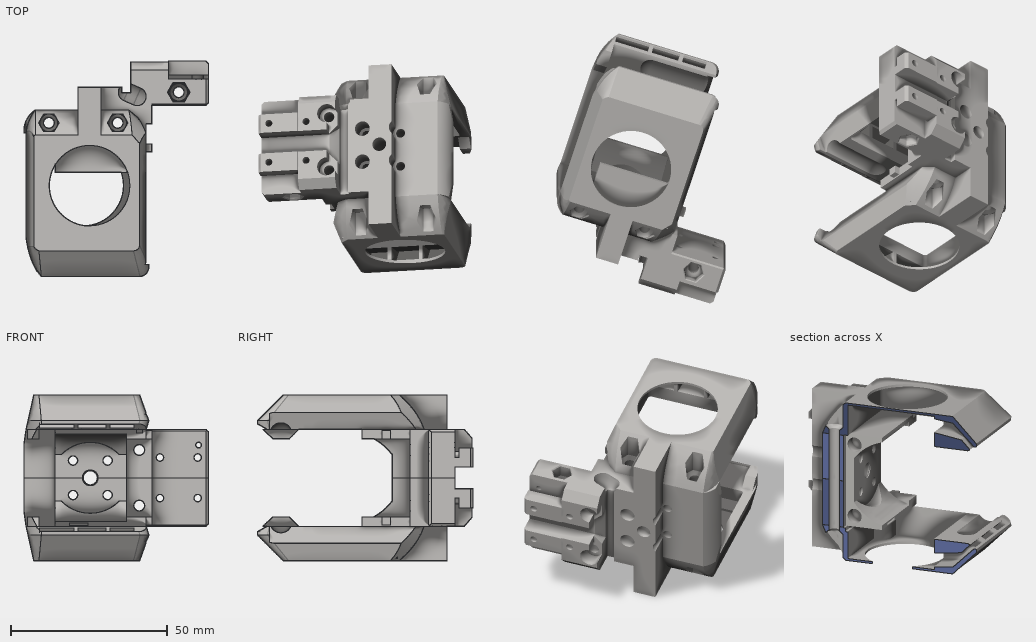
import cadquery as cq
import math


CORE_HEIGHT = 15.5
DUCT_HEIGHT = 26.5
SCREW_D = 3.4
CLAMP_SCREWS = [(-13.2, -19.75), (8.75, -19.75)]
NUT_FLATS = 5.65
NUT_CORNERS = NUT_FLATS / math.cos(math.pi / 6)

SPINE_LEFT = -21.2
SPINE_EDGE_LEFT = -20.5
SPINE_TAPER_START = 10.7
SPINE_REAR = -15.6
SPINE_FRONT = -23.0
CORNER_X = -17.55
CENTER_LEFT = -11.2
CENTER_RIGHT = 11.5
CENTER_FRONT = -25.8
SIDE_RIGHT = 19.6
SIDE_FRONT = -20.1
BACK_BLOCK_LEFT = -3.9
BACK_BLOCK_RIGHT = 10.1
BACK_BLOCK_REAR = -8.3
GAP_FLOOR = -10.1
PLATE_LEFT = 12.9
PLATE_RIGHT = 37.8
PLATE_FRONT = -14.2
STEP_LEFT = 24.9
PLATE_SCREW_XS = [22.2, 34.3]
PLATE_SCREW_Z = 6.5

SHELF_FRONT = -35.5
SHELF_RIGHT = 17.8
SHELF_UNDERSIDE = 14.0
RIM_UNDERSIDE = 12.45
SCOOP_START = 7.35
SCOOP_MID = (-31.3, 12.25)
FAN_D = 25.7
FAN_RELIEF_OFFSET = 1.5

ARM_FRONT = -68.8
NOSE_TOP = 18.25
NOSE_BOTTOM = 17.2
DUCT_SPLIT = -31
WALL_RIGHT = 17.75
NOSE_EAR_Y = -64.9
FAN_Y = -39.8
UPPER_FAN_X = -0.2
LOWER_FAN_X = -2.3
SKIN = 0.8
DUCT_TOP_LEFT = -18.0
DUCT_TOP_RIGHT = 15.75
DUCT_EDGE_RIGHT = 19.7
SOFT_FULLNESS = 0.6
ROUND_FULLNESS = 0.7
TRAY_LEFT = -17.4
TRAY_RIGHT = 14.7
TRAY_FRONT = -54.25
TRAY_REAR = -24.5


def box(x0, x1, y0, y1, z0, z1):
    """A box between two opposite corners."""
    return cq.Workplane("XY").box(x1 - x0, y1 - y0, z1 - z0, centered=False).translate((x0, y0, z0))


def bore(x, z, diameter, y_front, y_rear):
    """A cylinder along Y between two depths."""
    circle = cq.Workplane("XZ", origin=(x, y_rear, z)).circle(diameter / 2)
    return circle.extrude(y_rear - y_front)


def drill(x, y, diameter, z0, z1):
    """A cylinder along Z between two heights."""
    return cq.Workplane("XY", origin=(x, y, z0)).circle(diameter / 2).extrude(z1 - z0)


def nut_pocket(x, y, floor, top):
    """A hexagonal pocket with two corners on the X direction and a conical seat below its floor."""
    seat_depth = 1.0
    pocket = cq.Workplane("XY", origin=(x, y, floor)).polygon(6, NUT_CORNERS).extrude(top - floor)
    seat = cq.Solid.makeCone(SCREW_D / 2, NUT_FLATS / 2, seat_depth, cq.Vector(x, y, floor - seat_depth))
    return pocket.union(cq.Workplane(seat))


def side_profile(points, x0, x1):
    """A polygon in Y and Z, extruded along X."""
    return cq.Workplane("YZ", origin=(x0, 0, 0)).polyline(points).close().extrude(x1 - x0)


def side_rectangle(x, y0, y1, z0, z1):
    """A rectangular wire in Y and Z, at one place along X."""
    corners = [(y0, z0), (y1, z0), (y1, z1), (y0, z1)]
    return cq.Wire.makePolygon([cq.Vector(x, y, z) for y, z in corners], close=True)



def core_block():
    """Spine, back block and carrier plate as one outline of constant height."""
    outline = (
        cq.Workplane("XY")
        .moveTo(SPINE_LEFT, SPINE_FRONT)
        .threePointArc((-20.3, -18.7), (CORNER_X, SPINE_REAR))
        .lineTo(BACK_BLOCK_LEFT, SPINE_REAR)
        .lineTo(BACK_BLOCK_LEFT, BACK_BLOCK_REAR)
        .lineTo(BACK_BLOCK_RIGHT, BACK_BLOCK_REAR)
        .lineTo(BACK_BLOCK_RIGHT, GAP_FLOOR)
        .lineTo(PLATE_LEFT, GAP_FLOOR)
        .lineTo(PLATE_LEFT, 0)
        .lineTo(PLATE_RIGHT, 0)
        .lineTo(PLATE_RIGHT, PLATE_FRONT)
        .lineTo(SIDE_RIGHT, PLATE_FRONT)
        .lineTo(SIDE_RIGHT, SIDE_FRONT)
        .lineTo(CENTER_RIGHT, SIDE_FRONT)
        .lineTo(CENTER_RIGHT, CENTER_FRONT)
        .lineTo(CENTER_LEFT, CENTER_FRONT)
        .lineTo(CENTER_LEFT, SPINE_FRONT)
        .close()
    )
    block = outline.extrude(CORE_HEIGHT)
    outside = SPINE_LEFT - 0.7
    lean = (
        cq.Workplane("XZ")
        .polyline([(SPINE_LEFT, SPINE_TAPER_START), (SPINE_EDGE_LEFT, CORE_HEIGHT),
                   (outside, CORE_HEIGHT), (outside, SPINE_TAPER_START)])
        .close()
        .extrude(-SPINE_FRONT)
    )
    return block.cut(lean)


def shelf():
    """Forward shelf under the duct, with the curved scoop and the thicker rim right of it."""
    scoop = (
        cq.Workplane("YZ", origin=(CENTER_LEFT, 0, 0))
        .moveTo(CENTER_FRONT, SCOOP_START)
        .threePointArc(SCOOP_MID, (SHELF_FRONT, SHELF_UNDERSIDE))
        .lineTo(SHELF_FRONT, CORE_HEIGHT)
        .lineTo(CENTER_FRONT, CORE_HEIGHT)
        .close()
        .extrude(CENTER_RIGHT - CENTER_LEFT)
    )
    relief = bore(0, -FAN_RELIEF_OFFSET, FAN_D, SHELF_FRONT, CENTER_FRONT)
    rim = box(CENTER_RIGHT, SHELF_RIGHT, SHELF_FRONT, SIDE_FRONT, RIM_UNDERSIDE, CORE_HEIGHT)
    tab_width = 2.6
    tab_front = -29.05
    tab_top = 15.1
    tab = box(SHELF_RIGHT, SIDE_RIGHT, tab_front, tab_front + tab_width, RIM_UNDERSIDE, tab_top)
    return scoop.cut(relief).union(rim).union(tab)


def plate_edges():
    """Material removed around the edges of the carrier plate."""
    end_chamfer = 0.9
    front_chamfer = 0.5
    slope_depth = 2.8
    slope_height = 3.25
    rear_setback = 0.3
    ends = None
    for corner_y, inward in [(0, -1), (PLATE_FRONT, 1)]:
        corner = (
            cq.Workplane("XY")
            .polyline([(PLATE_RIGHT, corner_y), (PLATE_RIGHT - end_chamfer, corner_y),
                       (PLATE_RIGHT, corner_y + inward * end_chamfer)])
            .close()
            .extrude(CORE_HEIGHT)
        )
        ends = corner if ends is None else ends.union(corner)
    top_end = (
        cq.Workplane("XZ")
        .polyline([(PLATE_RIGHT, CORE_HEIGHT), (PLATE_RIGHT - end_chamfer, CORE_HEIGHT),
                   (PLATE_RIGHT, CORE_HEIGHT - end_chamfer)])
        .close()
        .extrude(-PLATE_FRONT)
    )
    front = side_profile(
        [(PLATE_FRONT, CORE_HEIGHT), (PLATE_FRONT + front_chamfer, CORE_HEIGHT),
         (PLATE_FRONT, CORE_HEIGHT - front_chamfer)], SIDE_RIGHT, PLATE_RIGHT)
    rear_slope = side_profile(
        [(0, CORE_HEIGHT), (-slope_depth, CORE_HEIGHT), (0, CORE_HEIGHT - slope_height)],
        PLATE_LEFT, STEP_LEFT)
    setback = box(PLATE_LEFT, STEP_LEFT, -rear_setback, 0, 0, CORE_HEIGHT)
    return ends.union(top_end).union(front).union(rear_slope).union(setback)


def strap_recesses():
    """Rear channel along the plate, its opening on the left and the step and slit on the right."""
    channel_half = 3.45
    channel_floor = -5.7
    opening_half = 10.3
    opening_depth = 4.8
    opening_right = 15.6
    flare_half = 6.05
    slit_front = -5.8
    slit_rear = -4.55
    slit_floor = PLATE_SCREW_Z
    step_floor = 9.6
    boss_d = 3.8
    channel = box(PLATE_LEFT, PLATE_RIGHT, channel_floor, 0, 0, channel_half)
    opening = box(PLATE_LEFT, opening_right, -opening_depth, 0, 0, opening_half)
    mouth = side_rectangle(PLATE_LEFT, BACK_BLOCK_REAR, -opening_depth, 0, flare_half)
    throat = side_rectangle(opening_right, channel_floor, -opening_depth, 0, channel_half)
    flare = cq.Workplane(cq.Solid.makeLoft([mouth, throat], True))
    step = box(STEP_LEFT, PLATE_RIGHT, slit_front, 0, step_floor, CORE_HEIGHT)
    slit = box(STEP_LEFT, PLATE_RIGHT, slit_front, slit_rear, slit_floor, step_floor)
    slit = slit.cut(bore(PLATE_SCREW_XS[1], PLATE_SCREW_Z, boss_d, slit_front, slit_rear))
    return channel.union(opening).union(flare).union(step).union(slit)


def core_holes():
    """All round holes, counterbores and nut pockets of one core half."""
    center_d = 4.5
    center_rim_d = 5.0
    center_rim_depth = 0.35
    fan_screw_d = 2.9
    fan_screw_pitch = 11
    fan_head_d = 4.8
    pivot_d = 4.8
    pivot_y = -26.0
    pivot_z = 12.0
    pivot_depth = 4.1
    mount_x = 15.6
    mount_z = 8.9
    mount_head_d = 6.0
    mount_head_depth = 4.8
    plate_screw_d = 2.3
    plate_nut = (28.2, -10.0)
    plate_nut_depth = 4.1
    nut_rim_depth = 0.35
    holes = bore(0, 0, center_d, SHELF_FRONT, 0)
    holes = holes.union(bore(0, 0, center_rim_d, CENTER_FRONT, CENTER_FRONT + center_rim_depth))
    for x in (-fan_screw_pitch / 2, fan_screw_pitch / 2):
        holes = holes.union(bore(x, fan_screw_pitch / 2, fan_screw_d, CENTER_FRONT, 0))
        holes = holes.union(bore(x, fan_screw_pitch / 2, fan_head_d, SPINE_REAR, 0))
    holes = holes.union(bore(mount_x, mount_z, SCREW_D, SIDE_FRONT, 0))
    holes = holes.union(bore(mount_x, mount_z, mount_head_d, -mount_head_depth, 0))
    for x in PLATE_SCREW_XS:
        holes = holes.union(bore(x, PLATE_SCREW_Z, plate_screw_d, PLATE_FRONT, 0))
    pivot = cq.Workplane("YZ", origin=(CENTER_LEFT, pivot_y, pivot_z)).circle(pivot_d / 2)
    holes = holes.union(pivot.extrude(pivot_depth))
    for x, y in CLAMP_SCREWS + [plate_nut]:
        holes = holes.union(drill(x, y, SCREW_D, 0, CORE_HEIGHT))
    holes = holes.union(nut_pocket(*plate_nut, CORE_HEIGHT - plate_nut_depth, CORE_HEIGHT))
    nut_rim = cq.Workplane("XY", origin=(*plate_nut, CORE_HEIGHT)).polygon(6, NUT_CORNERS + 2 * nut_rim_depth)
    return holes.union(nut_rim.extrude(-nut_rim_depth, taper=45))


def wire_groove():
    """Rounded groove with spherical ends across the top edge, from the gap diagonally into the plate."""
    start = cq.Vector(11.85, -10.0, CORE_HEIGHT)
    end = cq.Vector(14.95, -11.35, CORE_HEIGHT)
    radius = 2.9
    path = end - start
    groove = cq.Workplane(cq.Solid.makeCylinder(radius, path.Length, start, path))
    for point in (start, end):
        groove = groove.union(cq.Workplane("XY").sphere(radius).translate(point))
    return groove


def core_half():
    core = core_block().union(shelf())
    return core.cut(plate_edges()).cut(strap_recesses()).cut(core_holes())


def upper_core():
    pin_hole_d = 1.7
    pin_hole_x = 34.55
    pin_hole_z = 10.45
    notch_depth = 1.4
    pin_hole = bore(pin_hole_x, pin_hole_z, pin_hole_d, PLATE_FRONT, 0)
    latch_notch = box(14.7, 16.65, SHELF_FRONT, SHELF_FRONT + notch_depth, 14.3, CORE_HEIGHT)
    return core_half().cut(pin_hole).cut(wire_groove()).cut(latch_notch)


def lower_core():
    notch_depth = 0.7
    latch_notch = box(-6.7, -0.7, SHELF_FRONT, SHELF_FRONT + notch_depth, 14.4, CORE_HEIGHT - 0.35)
    return core_half().cut(latch_notch).mirror("XY")



def blend(z, at_parting, at_top):
    """A size that changes evenly from the parting plane to the outer face."""
    return at_parting + (at_top - at_parting) * (z - CORE_HEIGHT) / (DUCT_HEIGHT - CORE_HEIGHT)


def side_left(z):
    return blend(z, SPINE_EDGE_LEFT, DUCT_TOP_LEFT)


def side_right(z):
    return blend(z, DUCT_EDGE_RIGHT, DUCT_TOP_RIGHT)


def bulged(corner_x, corner_y, dx, dy, fullness):
    """Middle point of a corner curve that starts dx and dy away from the sharp corner."""
    return (corner_x + dx * (1 - fullness), corner_y + dy * (1 - fullness))


def rear_section(z, rear):
    """Outline of the rear part of the duct at height z: rounded left corner, cut right corner."""
    left = side_left(z)
    right = side_right(z)
    round_x = blend(z, 2.95, 0.55)
    round_y = blend(z, 7.35, 0.55)
    middle = bulged(left, rear, round_x, -round_y, SOFT_FULLNESS)
    chamfer_x = blend(z, 7.4, 2.4)
    chamfer_y = blend(z, 6.25, 2.75)
    outline = (
        cq.Workplane("XY", origin=(0, 0, z))
        .moveTo(left, rear - round_y)
        .threePointArc(middle, (left + round_x, rear))
        .lineTo(right - chamfer_x, rear)
        .lineTo(right, rear - chamfer_y)
        .lineTo(right, DUCT_SPLIT)
        .lineTo(left, DUCT_SPLIT)
        .close()
    )
    return outline.wire().val()


def front_section(z, right):
    """Outline of the front part of the duct at height z, with both front corners rounded."""
    left = side_left(z)
    front = ARM_FRONT + max(0, z - NOSE_TOP)
    left_round_x = blend(z, 5.15, 1.65)
    left_round_y = blend(z, 12.45, 1.4)
    right_round_x = blend(z, 3.1, 2.0)
    right_round_y = blend(z, 3.8, 1.7)
    left_middle = bulged(left, front, left_round_x, left_round_y, SOFT_FULLNESS)
    right_middle = bulged(right, front, -right_round_x, right_round_y, ROUND_FULLNESS)
    outline = (
        cq.Workplane("XY", origin=(0, 0, z))
        .moveTo(left, DUCT_SPLIT)
        .lineTo(right, DUCT_SPLIT)
        .lineTo(right, front + right_round_y)
        .threePointArc(right_middle, (right - right_round_x, front))
        .lineTo(left + left_round_x, front)
        .threePointArc(left_middle, (left, front + left_round_y))
        .close()
    )
    return outline.wire().val()


def duct_shell():
    """Solid arm: curved rear, straight front with sloped nose, and the rib at the back."""
    rear_curve = [(CORE_HEIGHT, SPINE_REAR), (21.05, -18.5), (DUCT_HEIGHT, -23.6)]
    rear_part = cq.Workplane(cq.Solid.makeLoft([rear_section(z, rear) for z, rear in rear_curve]))
    ear_bottom_right = 17.9
    front_rights = [
        (CORE_HEIGHT, ear_bottom_right),
        (NOSE_TOP, side_right(NOSE_TOP)),
        (DUCT_HEIGHT, side_right(DUCT_HEIGHT)),
    ]
    front_part = cq.Workplane(cq.Solid.makeLoft([front_section(z, right) for z, right in front_rights], True))
    rib_right = 3.45
    rib = box(BACK_BLOCK_LEFT, rib_right, FAN_Y + FAN_D / 2, BACK_BLOCK_REAR, CORE_HEIGHT, DUCT_HEIGHT)
    return rear_part.union(front_part).union(rib).cut(right_trim()).cut(under_nose())


def right_trim():
    """Flattens the right wall behind the ear and slopes it inward below its widest line."""
    slope_width = 2.4
    slope_height = 5.4
    outside = 20.65
    return (
        cq.Workplane("XZ")
        .polyline([(WALL_RIGHT - slope_width, CORE_HEIGHT), (WALL_RIGHT, CORE_HEIGHT + slope_height),
                   (WALL_RIGHT, DUCT_HEIGHT), (outside, DUCT_HEIGHT), (outside, CORE_HEIGHT)])
        .close()
        .extrude(-NOSE_EAR_Y)
    )


def under_nose():
    """Back slope below the tip of the nose."""
    slope_end = -65.8
    profile = [(ARM_FRONT, CORE_HEIGHT), (slope_end, CORE_HEIGHT), (ARM_FRONT, NOSE_BOTTOM)]
    return side_profile(profile, SPINE_LEFT, SIDE_RIGHT)


def nose_fin():
    """Fin on the left of the nose that reaches past the parting plane."""
    fin_left = -19.95
    fin_right = -16.4
    fin_bottom = RIM_UNDERSIDE
    profile = [(-55.6, CORE_HEIGHT), (-58.65, fin_bottom), (-63.9, fin_bottom), (-67.1, CORE_HEIGHT)]
    fin = side_profile(profile, fin_left, fin_right)
    round_off = (
        cq.Workplane("XY", origin=(0, 0, fin_bottom))
        .moveTo(SPINE_EDGE_LEFT, -56.4)
        .threePointArc((-19.2, -62.3), (-16.0, ARM_FRONT))
        .lineTo(fin_right, -55.05)
        .lineTo(SPINE_EDGE_LEFT, -55.05)
        .close()
        .extrude(CORE_HEIGHT - fin_bottom)
    )
    return fin.intersect(round_off)


def duct_cavity(fan_x):
    """Tray open toward the core, with the fan opening through its thin outer skin."""
    tray_round = 1.0
    tray = box(TRAY_LEFT, TRAY_RIGHT, TRAY_FRONT, TRAY_REAR, CORE_HEIGHT, DUCT_HEIGHT - SKIN)
    tray = tray.edges("|Z").fillet(tray_round)
    return tray.union(drill(fan_x, FAN_Y, FAN_D, DUCT_HEIGHT - SKIN, DUCT_HEIGHT))


def nose_outlets():
    """Three slots in the nose, each widening back into the tray."""
    slot_spans = [(-16.2, -5.15), (-3.9, 4.95), (6.25, 13.9)]
    profile = [
        (ARM_FRONT, 15.7), (-66.9, 15.7), (-63.6, 19.0), (TRAY_FRONT, 20.3),
        (TRAY_FRONT, 24.8), (-60.6, 24.1), (-67.9, 17.1), (ARM_FRONT, 17.1),
    ]
    outlets = cq.Workplane("XY")
    for x0, x1 in slot_spans:
        outlets = outlets.add(side_profile(profile, x0, x1))
    return outlets.combine()


def finger_groove():
    """Shallow round groove along the front rim, closed by a sphere at its left end."""
    radius = 3.45
    depth = 2.05
    start = (-2.75, -61.3, CORE_HEIGHT - radius + depth)
    groove = cq.Workplane("YZ", origin=start).circle(radius).extrude(SIDE_RIGHT - start[0])
    return groove.union(cq.Workplane("XY").sphere(radius).translate(start))


def duct(fan_x):
    nut_floor = 17.9
    body = duct_shell().cut(duct_cavity(fan_x)).cut(nose_outlets()).cut(finger_groove())
    body = body.union(nose_fin())
    for x, y in CLAMP_SCREWS:
        body = body.cut(drill(x, y, SCREW_D, CORE_HEIGHT, DUCT_HEIGHT))
        body = body.cut(nut_pocket(x, y, nut_floor, DUCT_HEIGHT))
    return body


def upper_duct():
    return duct(UPPER_FAN_X)


def lower_duct():
    boss_left = 8.7
    boss_front = -29.6
    boss_round = 2.9
    overlap = 0.35
    boss_right = TRAY_RIGHT + overlap
    boss_rear = TRAY_REAR + overlap
    boss = box(boss_left, boss_right, boss_front, boss_rear, CORE_HEIGHT, DUCT_HEIGHT - SKIN)
    boss = boss.edges("|Z and <X and <Y").fillet(boss_round)
    ledge_rear = -23.6
    ledge_depth = 1.25
    ledge = box(TRAY_LEFT, boss_left, TRAY_REAR, ledge_rear, CORE_HEIGHT, CORE_HEIGHT + ledge_depth)
    return duct(LOWER_FAN_X).union(boss).cut(ledge).mirror("XY")


bodies = [upper_core(), lower_core(), upper_duct(), lower_duct()]
result = cq.Compound.makeCompound([body.solids().val() for body in bodies])